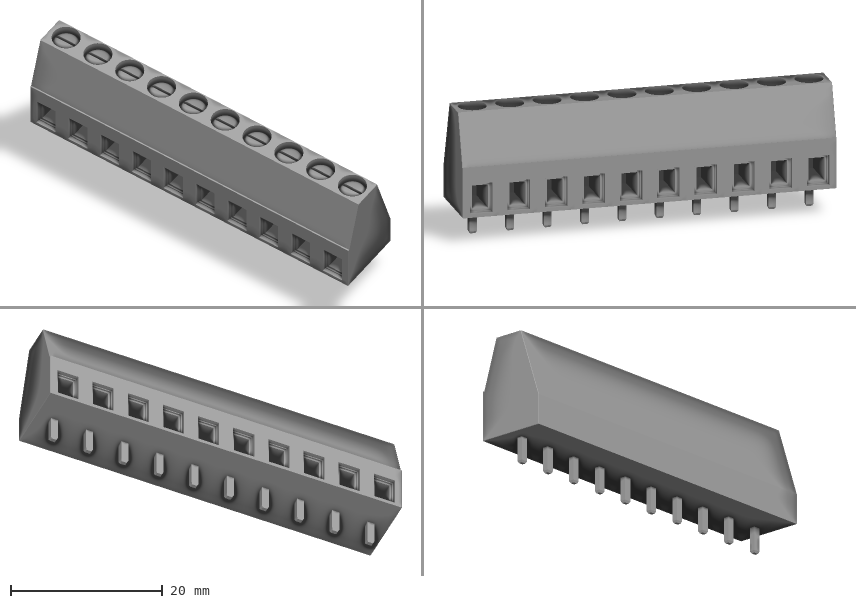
import cadquery as cq

pole_count = 10
pitch = 5.1
body_length = pole_count * pitch
body_width = 9.8
body_height = 13.85
front_y = -4.6
back_y = front_y + body_width
top_front_y = -2.3
top_back_y = 2.05
front_ledge = 0.2
front_wall_height = 6.9
back_wall_height = 4.15
end_chamfer = 0.05

entry_width = 3.05
entry_height = 4.1
entry_bottom = 0.5
opening_depth = 0.55
mouth_inset = 0.15
mouth_depth = 0.2
bore_inset = 0.43
bore_depth = 6.1
bore_draft = 1.0

screw_diameter = 3.65
well_diameter = 3.8
screw_recess = 0.65
crown_diameter = 2.05
slot_width = 0.4
slot_depth = 0.5
head_radius = (screw_diameter - crown_diameter) / 2

pin_length = 3.55
pin_width = 1.0
pin_thickness = 0.8
pin_tip_height = 0.3
pin_tip_inset = 0.15

pole_positions = [(pole - (pole_count - 1) / 2) * pitch for pole in range(pole_count)]


def make_housing():
    """Tapered block along the row of poles, standing on Z = 0, with eased end edges."""
    profile = [
        (front_y, 0),
        (back_y, 0),
        (back_y, back_wall_height),
        (top_back_y, body_height),
        (top_front_y, body_height),
        (front_y + front_ledge, front_wall_height),
        (front_y, front_wall_height),
    ]
    block = cq.Workplane("YZ").polyline(profile).close().extrude(body_length / 2, both=True)
    return block.faces("<X or >X").edges().chamfer(end_chamfer)


def entry_pocket(inset, depth, draft=0):
    """Rectangular pocket cut of one pole, running from the front face into the housing."""
    return (
        cq.Workplane("XZ", origin=(0, front_y, entry_bottom + entry_height / 2))
        .rect(entry_width - 2 * inset, entry_height - 2 * inset)
        .extrude(-depth, taper=draft)
    )


def make_wire_entry():
    """Entry opening that steps in twice: to the cage mouth and to its drafted bore."""
    opening = entry_pocket(0, opening_depth)
    cage_mouth = entry_pocket(mouth_inset, opening_depth + mouth_depth)
    bore = entry_pocket(bore_inset, bore_depth, bore_draft)
    return opening.union(cage_mouth).union(bore)


def make_screw_recess():
    """Round well around a domed, slotted screw head."""
    crown_z = body_height - screw_recess
    head_base_z = crown_z - head_radius
    well = (
        cq.Workplane("XY")
        .workplane(offset=head_base_z)
        .circle(well_diameter / 2)
        .extrude(body_height - head_base_z)
    )
    dome = (
        cq.Workplane("XZ")
        .moveTo(0, head_base_z)
        .lineTo(screw_diameter / 2, head_base_z)
        .radiusArc((crown_diameter / 2, crown_z), -head_radius)
        .lineTo(0, crown_z)
        .close()
        .revolve(360, (0, 0, 0), (0, 1, 0))
    )
    slot = (
        cq.Workplane("XY")
        .box(screw_diameter, slot_width, slot_depth)
        .translate((0, 0, crown_z - slot_depth / 2))
    )
    return well.cut(dome.cut(slot))


def make_pin():
    """Rectangular solder pin below the housing with a chamfered tip."""
    return (
        cq.Workplane("XY")
        .rect(pin_width, pin_thickness)
        .extrude(-pin_length)
        .faces("<Z")
        .chamfer(pin_tip_height, pin_tip_inset)
    )


pole_cut = make_wire_entry().union(make_screw_recess())
pin = make_pin()

result = make_housing()
for pole_x in pole_positions:
    result = result.cut(pole_cut.translate((pole_x, 0, 0)))
    result = result.union(pin.translate((pole_x, 0, 0)))